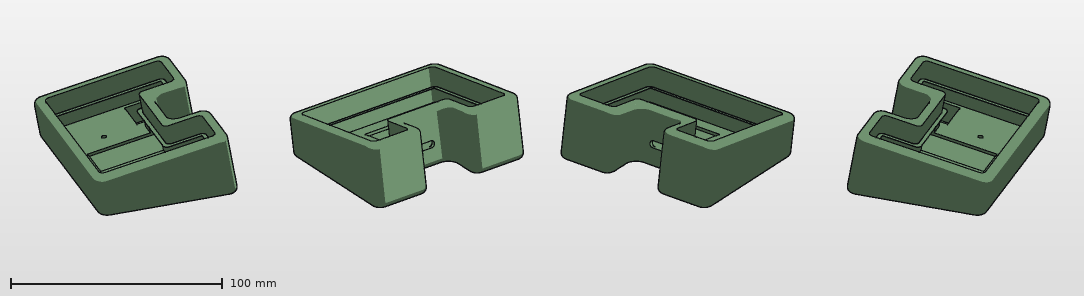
import cadquery as cq
import math

tilt = 10.0
width = 88.2
length = 69.15
front_height = 20.3
wall = 5.0
corner_radius = 5.0
edge_radius = 2.5
cavity_radius = 2.5

notch_width = 26.0
notch_depth = 19.05

lip_depth = 10.0
lip_width = 2.0
lip_thickness = 0.2
floor_depth = 17.8

pocket_depth = 10.05
pocket_length = 19.85

recess_width = 18.2
recess_front = 13.05
recess_depth = 1.5
recess_wall_bite = 3.0

slot_width = 9.5
slot_height = 3.5

hole_diameter = 2.5
hole_spacing = 37.9
hole_front = 25.05
hole_length = 2.0
head_diameter = 5.0

slope = math.radians(tilt)
rear_rise = length * math.sin(slope)
notch_face = length - notch_depth
cavity_notch_face = notch_face - wall
pocket_inner_side = notch_width / 2 + wall + lip_width
body_depth = 2 * front_height + rear_rise
reach = 2 * (width + length)


def level(depth):
    """Workplane parallel to the rim, the given depth below it."""
    return cq.Workplane("XY", origin=(0, 0, -depth))


def u_outline(plane, inset):
    """Body outline with its rear notch, moved inward by inset."""
    side = width / 2 - inset
    arm = notch_width / 2 + inset
    return plane.polyline([
        (-side, inset),
        (side, inset),
        (side, length - inset),
        (arm, length - inset),
        (arm, notch_face - inset),
        (-arm, notch_face - inset),
        (-arm, length - inset),
        (-side, length - inset),
    ]).close()


def u_block(top, bottom, inset):
    """Sharp-cornered U-shaped block between two depths below the rim."""
    return u_outline(level(bottom), inset).extrude(bottom - top)


def sloped(shape):
    """Tip a shape from the rim frame into place, rear side up."""
    return shape.rotate((0, 0, 0), (1, 0, 0), tilt)


def make_body():
    """Sloped block with a flat base and rounded edges."""
    body = u_block(0, body_depth, 0).edges("|Z").fillet(corner_radius)
    body = sloped(body.faces(">Z").edges().fillet(edge_radius))
    below_base = cq.Workplane("XY", origin=(0, 0, -front_height)).rect(reach, reach).extrude(-reach)
    return body.cut(below_base).faces("<Z").edges().fillet(edge_radius)


def make_cavity():
    """U-shaped cavity with a thin lip left standing part-way down."""
    lip_bottom = lip_depth + lip_thickness
    upper = u_block(0, lip_depth, wall).edges("|Z").fillet(cavity_radius)
    lower = u_block(lip_bottom, floor_depth, wall).edges("|Z").fillet(cavity_radius)
    notch_corners = cq.selectors.BoxSelector(
        (-pocket_inner_side - lip_width, cavity_notch_face - 2 * lip_width, -floor_depth),
        (pocket_inner_side + lip_width, cavity_notch_face, 0),
    )
    opening = u_block(lip_depth, lip_bottom, wall + lip_width)
    opening = opening.edges("|Z").edges(notch_corners).fillet(cavity_radius)
    return upper.union(opening).union(lower)


def make_pockets():
    """One pocket in each rear arm, in line with the lip opening above it."""
    outer_side = width / 2 - wall - lip_width
    rear = length - wall - lip_width
    middle = (pocket_inner_side + outer_side) / 2
    return (
        level(floor_depth)
        .pushPoints([(side * middle, rear - pocket_length / 2) for side in (-1, 1)])
        .rect(outer_side - pocket_inner_side, pocket_length)
        .extrude(-pocket_depth)
    )


def make_recess():
    """Shallow floor recess, full height below the lip where it enters the notch wall."""
    bottom = floor_depth + recess_depth
    recess_rear = cavity_notch_face + recess_wall_bite
    top = lip_depth + lip_thickness
    floor_part = (
        level(bottom)
        .center(0, (recess_front + cavity_notch_face) / 2)
        .rect(recess_width, cavity_notch_face - recess_front)
        .extrude(recess_depth)
    )
    wall_part = (
        level(bottom)
        .center(0, (cavity_notch_face + recess_rear) / 2)
        .rect(recess_width, recess_wall_bite)
        .extrude(bottom - top)
    )
    return floor_part.union(wall_part)


def make_slot():
    """Rounded slot whose flat bottom is flush with the recess floor."""
    slot_depth = floor_depth + recess_depth - slot_height / 2
    return (
        cq.Workplane("XZ", origin=(0, notch_face + wall, -slot_depth))
        .slot2D(slot_width, slot_height)
        .extrude(2 * wall)
    )


def make_holes():
    """Screw holes with wide head clearances below a thin seat."""
    centres = [(side * hole_spacing / 2, hole_front) for side in (-1, 1)]
    holes = level(floor_depth).pushPoints(centres).circle(hole_diameter / 2).extrude(-body_depth)
    heads = (
        level(floor_depth + hole_length)
        .pushPoints(centres)
        .circle(head_diameter / 2)
        .extrude(-body_depth)
    )
    return holes.union(heads)


result = make_body()
for tool in (make_cavity(), make_pockets(), make_recess(), make_slot(), make_holes()):
    result = result.cut(sloped(tool))